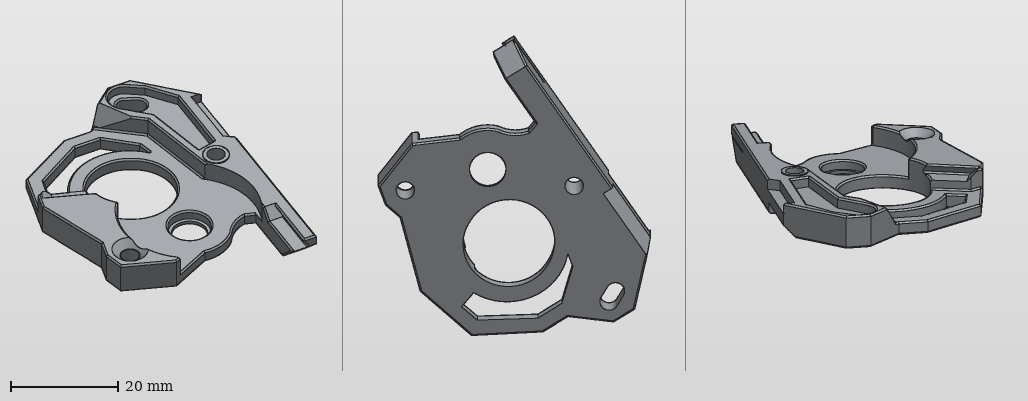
import cadquery as cq
import math

full_height = 6.4
floor_height = 2.5
shelf_height = 4.35
ring_height = 6.6
bevel = 0.35
beyond = 2.8

length = 56.0
width = 41.4
arm_front = 36.4
bore_center = (23.95, 19.15)
bore_diameter = 16.85
bore_travel = 0.5
pivot_center = (38.35, 23.9)
pivot_diameter = 6.8
pivot_counterbore_diameter = 8.1
pivot_counterbore_depth = 1.85
lobe_radius = 8.1
pocket_radius = 13.55
collar_center = (26.75, 35.55)
collar_diameter = 5.0
small_hole_diameter = 3.4
countersink_center = (43.35, 8.8)
countersink_diameter = 6.8
countersink_end_diameter = 3.75

left_top = (0.0, 31.5)
left_bottom = (0.0, 26.75)
back_left = (9.75, width)
frame_top = (5.6, 20.2)
frame_front = (12.3, 3.15)
front_tip = (25.0, 0.0)
front_edge = [(39.25, 4.9), (42.85, 4.05), (46.8, 5.0), (50.4, 14.9)]

joint_rise = full_height - shelf_height
undercut_depth = 1.0
arm_joint = (44.1, 38.7)
pad_joint = (22.4, 1.3)
pad_joint_angle = 70.0

notch_depth = 2.1
notch_floor_end = 22.5
notch_end = 23.9

oblong_upper = (5.05, 30.45)
oblong_lower = (4.0, 28.35)
recess_end_radius = 3.25
oblong_run = (oblong_upper[0] - oblong_lower[0], oblong_upper[1] - oblong_lower[1])
oblong_travel = math.hypot(*oblong_run)
travel_angle = math.degrees(math.atan2(oblong_run[1], oblong_run[0]))


def polar(center, radius, degrees):
    """Point at a given radius and direction from a center."""
    angle = math.radians(degrees)
    return (center[0] + radius * math.cos(angle), center[1] + radius * math.sin(angle))


def between(start, end, x):
    """Point at a given X on the straight line from `start` to `end`."""
    slope = (end[1] - start[1]) / (end[0] - start[0])
    return (x, start[1] + slope * (x - start[0]))


def raised(sketch, top):
    """Solid from the base up to `top`, with its top and bottom edges bevelled."""
    wire = sketch.val()
    middle = cq.Workplane("XY", origin=(0, 0, bevel)).add(wire.translate((0, 0, bevel))).toPending()
    body = middle.extrude(top - 2 * bevel)
    lower = cq.Workplane("XY", origin=(0, 0, bevel)).add(wire.translate((0, 0, bevel))).toPending()
    upper_z = top - bevel
    upper = cq.Workplane("XY", origin=(0, 0, upper_z)).add(wire.translate((0, 0, upper_z))).toPending()
    return body.union(lower.extrude(-bevel, taper=45)).union(upper.extrude(bevel, taper=45))


def opening(sketch, bottom, top):
    """Cutter with vertical walls that flares out by the bevel at `top`."""
    wire = sketch.val()
    start = cq.Workplane("XY", origin=(0, 0, bottom)).add(wire.translate((0, 0, bottom))).toPending()
    flare_z = top - bevel
    flare = cq.Workplane("XY", origin=(0, 0, flare_z)).add(wire.translate((0, 0, flare_z))).toPending()
    return start.extrude(top - bottom).union(flare.extrude(bevel, taper=-45))


def cylinder(center, diameter, bottom, top):
    return cq.Workplane("XY", origin=(*center, bottom)).circle(diameter / 2).extrude(top - bottom)


def stretched_hole(center, diameter, travel, bottom, top):
    """Bevelled hole cutter stretched by `travel` along the adjustment direction."""
    sketch = cq.Workplane("XY").center(*center).slot2D(diameter + travel, diameter, travel_angle)
    return opening(sketch, bottom, top)


def bore(top):
    return stretched_hole(bore_center, bore_diameter, bore_travel, -beyond, top)


def foot(sketch):
    """Sloped strip along the foot of a wall that stands on the floor."""
    strip_top = floor_height + bevel
    wire = sketch.val().translate((0, 0, strip_top))
    return cq.Workplane("XY", origin=(0, 0, strip_top)).add(wire).toPending().extrude(-bevel, taper=-45)


def joint_groove(start, angle, groove_length, open_side):
    """Undercut groove running from `start`; open_side is 1 for its left, -1 for its right."""
    lip = full_height - bevel
    foot_top = shelf_height + bevel
    profile = [
        (beyond * 3, full_height), (-bevel, full_height), (0, lip),
        (-undercut_depth, foot_top), (bevel - undercut_depth, shelf_height), (beyond * 3, shelf_height),
    ]
    groove = (
        cq.Workplane("YZ")
        .polyline([(open_side * y, z) for y, z in profile]).close()
        .extrude(groove_length)
    )
    ramp = (
        cq.Workplane("XZ")
        .polyline([(0, full_height), (joint_rise, shelf_height),
                   (groove_length, shelf_height), (groove_length, full_height)]).close()
        .extrude(beyond * 4, both=True)
    )
    return groove.intersect(ramp).rotate((0, 0, 0), (0, 0, 1), angle).translate((*start, 0))


lobe_end = polar(pivot_center, lobe_radius, -7)
outline = (
    cq.Workplane("XY")
    .moveTo(*left_top).lineTo(*back_left)
    .lineTo(arm_joint[0], width).lineTo(arm_joint[0], arm_front)
    .lineTo(41.15, arm_front).lineTo(40.5, 34.4)
    .threePointArc((41.55, 32.0), polar(pivot_center, lobe_radius, 47))
    .threePointArc(polar(pivot_center, lobe_radius, 20), lobe_end)
)
for corner in reversed(front_edge):
    outline = outline.lineTo(*corner)
outline = (
    outline.lineTo(*front_tip).lineTo(*frame_front).lineTo(frame_top[0], 14.7)
    .lineTo(*frame_top).lineTo(*left_bottom).close()
)
pocket = cylinder(pivot_center, 2 * pocket_radius, floor_height, full_height + beyond)

ring_slot_center = (24.0, 18.75)
ring_slot_radius = 11.55
ring_slot = (
    cq.Workplane("XY")
    .moveTo(8.5, 15.45).lineTo(8.5, 20.8).lineTo(13.45, 26.5)
    .lineTo(*polar(ring_slot_center, ring_slot_radius, 133.5))
    .threePointArc(
        polar(ring_slot_center, ring_slot_radius, 180),
        polar(ring_slot_center, ring_slot_radius, 246),
    )
    .lineTo(18.2, 4.8).lineTo(14.4, 5.8).close()
)
plate = raised(outline, floor_height)
above_floor = plate.faces(">Z").wires().toPending().workplane().extrude(bevel)
plate = plate.cut(opening(ring_slot, -beyond, floor_height)).cut(bore(floor_height))

plateau_outline = (
    cq.Workplane("XY")
    .polyline([
        left_top, back_left, (length, width), (length, arm_front), (39.2, arm_front),
        (30.8, 33.2), (11.75, 29.1), between(left_bottom, frame_top, 5.15), left_bottom,
    ]).close()
)
plateau = raised(plateau_outline, full_height)

facet_left = cq.Vector(3.5, 23.35, full_height)
facet_right = cq.Vector(9.7, 26.8, full_height)
facet_foot = cq.Vector(5.05, 21.05, floor_height)
facet_edge = facet_right - facet_left
facet_plane = cq.Plane(
    origin=(facet_left + facet_right) / 2,
    xDir=facet_edge,
    normal=(facet_foot - facet_left).cross(facet_edge),
)
facet_cutter = cq.Workplane(facet_plane).rect(8.95, 16.8).extrude(beyond * 2)
plateau = plateau.cut(facet_cutter)

plateau = plateau.cut(joint_groove(arm_joint, 0, length, -1))
arm_space = (
    cq.Workplane("XY").box(length, width, shelf_height, centered=False)
    .union(cq.Workplane("XY").box(length, arm_joint[1], full_height, centered=False))
)
plateau = plateau.cut(arm_space.translate((arm_joint[0], 0, 0)))
arm_root = pivot_center[0]
arm_profile = (
    cq.Workplane("XY")
    .polyline([
        (arm_root, 0), (length - shelf_height, 0), (length, shelf_height),
        (arm_joint[0] + joint_rise, shelf_height), (arm_joint[0], full_height), (arm_root, full_height),
    ]).close()
)
arm = raised(arm_profile, width - arm_front).rotate((0, 0, 0), (1, 0, 0), 90).translate((0, width, 0))
plateau = plateau.union(arm).cut(pocket)

notch_outline = (
    cq.Workplane("XY")
    .polyline([
        (back_left[0], width - notch_depth), (notch_floor_end, width - notch_depth),
        (notch_end, width), (notch_end, width + beyond), (back_left[0], width + beyond),
    ]).close()
)
notch = notch_outline.extrude(full_height).translate((0, 0, shelf_height))
relief = (
    cq.Workplane("YZ")
    .polyline([(width - notch_depth, 0), (width, notch_depth), (width + beyond, 0)]).close()
    .extrude(notch_floor_end)
)
plateau = plateau.cut(notch)

recess_outline = (
    cq.Workplane("XY")
    .moveTo(*polar(oblong_lower, recess_end_radius, -45))
    .threePointArc(polar(oblong_lower, recess_end_radius, -120), polar(oblong_lower, recess_end_radius, 160))
    .lineTo(3.25, 33.0).lineTo(8.5, 37.1).lineTo(22.8, 37.1).lineTo(23.65, 33.6).lineTo(10.75, 30.85).close()
)
plateau = plateau.cut(opening(recess_outline, shelf_height, full_height))
oblong_center = ((oblong_upper[0] + oblong_lower[0]) / 2, (oblong_upper[1] + oblong_lower[1]) / 2)
oblong_hole = stretched_hole(oblong_center, small_hole_diameter, oblong_travel, -beyond, shelf_height)

pad_tip = polar(pivot_center, pocket_radius, 323.5)
pad_outline = (
    cq.Workplane("XY")
    .moveTo(*between(frame_front, front_tip, 21.5)).lineTo(20.1, 3.4).lineTo(22.7, 10.9)
    .lineTo(*polar(pivot_center, pocket_radius, 232.7))
    .threePointArc(polar(pivot_center, pocket_radius, 280), pad_tip)
    .lineTo(*between(front_edge[-1], lobe_end, 49.9))
    .lineTo(*front_edge[-1])
)
for corner in reversed(front_edge[:-1]):
    pad_outline = pad_outline.lineTo(*corner)
pad_outline = pad_outline.lineTo(*front_tip).close()
pad = raised(pad_outline, full_height).cut(bore(full_height))
pad_groove = joint_groove(pad_joint, pad_joint_angle, 16.8, 1)
shelf_bore = bore(shelf_height).intersect(pad_groove.translate((0, 0, -joint_rise)))
pad = pad.cut(pad_groove).cut(shelf_bore)

feet = foot(plateau_outline).union(foot(pad_outline)).intersect(above_floor)
feet = feet.cut(pocket).cut(bore(full_height))

collar = cylinder(collar_center, collar_diameter, floor_height, ring_height)
small_hole = cylinder(collar_center, small_hole_diameter, -beyond, full_height + beyond)
pivot_hole = cylinder(pivot_center, pivot_diameter, -beyond, full_height)
pivot_counterbore = opening(
    cq.Workplane("XY").center(*pivot_center).circle(pivot_counterbore_diameter / 2),
    floor_height - pivot_counterbore_depth,
    floor_height,
)
countersink_depth = (countersink_diameter - countersink_end_diameter) / 2
countersink = (
    cq.Workplane("XY", origin=(*countersink_center, full_height))
    .circle(countersink_diameter / 2)
    .extrude(-countersink_depth, taper=45)
)
countersunk_hole = cylinder(countersink_center, small_hole_diameter, -beyond, full_height)

result = plate.union(plateau).union(pad).union(feet).union(collar)
for cutter in (relief, oblong_hole, small_hole, pivot_hole, pivot_counterbore, countersink, countersunk_hole):
    result = result.cut(cutter)